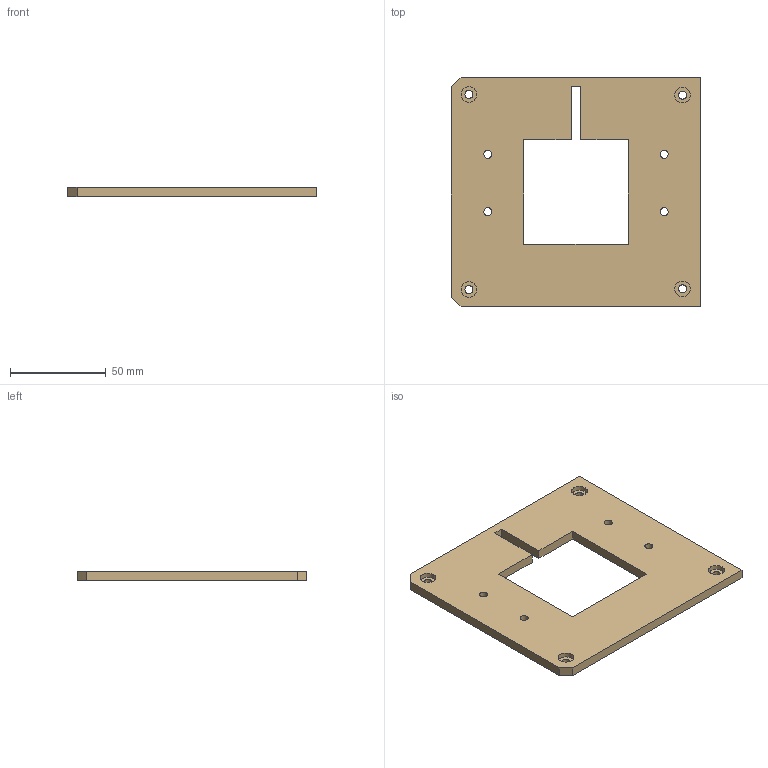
import cadquery as cq

LENGTH = 130.0
WIDTH = 120.0
THICKNESS = 5.0
CORNER_CHAMFER = 5.0

WINDOW_SIDE = 54.7
SLOT_WIDTH = 5.0
SLOT_EDGE_MARGIN = 5.0

HOLE_DIAMETER = 4.2
SIDE_HOLE_PITCH_X = 92.0
SIDE_HOLE_PITCH_Y = 30.0
SIDE_HOLE_CENTRE_Y = 4.7

COUNTERBORE_DIAMETER = 8.2
COUNTERBORE_DEPTH = 2.5
LEFT_HOLE_INSET = 9.15
RIGHT_HOLE_INSET = 9.4
LEFT_HOLE_X = -LENGTH / 2 + LEFT_HOLE_INSET
RIGHT_HOLE_X = LENGTH / 2 - RIGHT_HOLE_INSET
LEFT_HOLE_PITCH_Y = 101.8
RIGHT_HOLE_PITCH_Y = 101.1


def make_plate():
    """Flat plate with the two -X corners cut off."""
    plate = cq.Workplane("XY").box(LENGTH, WIDTH, THICKNESS, centered=(True, True, False))
    return plate.edges("|Z and <X").chamfer(CORNER_CHAMFER)


def cut_window_and_slot(plate):
    """Open the central window and the slot that leads out of it."""
    slot_end_y = WIDTH / 2 - SLOT_EDGE_MARGIN
    window = cq.Workplane("XY").rect(WINDOW_SIDE, WINDOW_SIDE).extrude(THICKNESS)
    slot = (
        cq.Workplane("XY")
        .center(0, slot_end_y / 2)
        .rect(SLOT_WIDTH, slot_end_y)
        .extrude(THICKNESS)
    )
    return plate.cut(window).cut(slot)


def drill_side_holes(plate):
    """Drill the four plain holes beside the window."""
    return (
        plate.faces(">Z")
        .workplane(origin=(0, SIDE_HOLE_CENTRE_Y, THICKNESS))
        .rarray(SIDE_HOLE_PITCH_X, SIDE_HOLE_PITCH_Y, 2, 2)
        .hole(HOLE_DIAMETER)
    )


def drill_corner_holes(plate):
    """Drill the four corner holes, counterbored from the top face."""
    centres = []
    for x, pitch_y in ((LEFT_HOLE_X, LEFT_HOLE_PITCH_Y), (RIGHT_HOLE_X, RIGHT_HOLE_PITCH_Y)):
        centres.append((x, -pitch_y / 2))
        centres.append((x, pitch_y / 2))
    return (
        plate.faces(">Z")
        .workplane(origin=(0, 0, THICKNESS))
        .pushPoints(centres)
        .cboreHole(HOLE_DIAMETER, COUNTERBORE_DIAMETER, COUNTERBORE_DEPTH)
    )


result = make_plate()
result = cut_window_and_slot(result)
result = drill_side_holes(result)
result = drill_corner_holes(result)